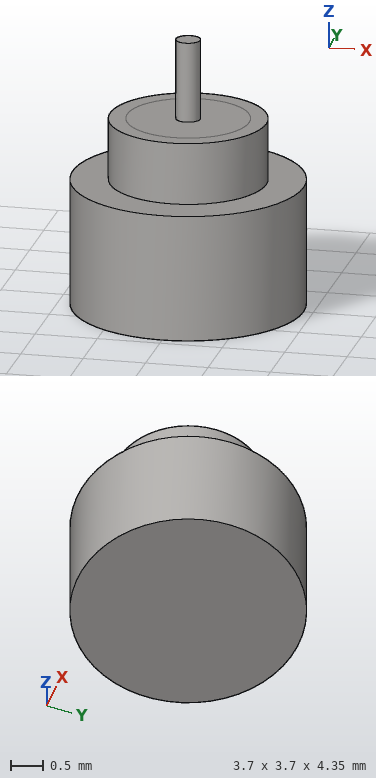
import cadquery as cq

body_diameter = 3.7
body_height = 2.05
collar_diameter = 2.5
collar_height = 1.0
core_diameter = 1.95
pin_diameter = 0.39
pin_length = 1.3

collar_top = body_height + collar_height


def cylinder(diameter, height, base_z):
    """Upright cylinder on the Z axis, standing on base_z."""
    return cq.Workplane("XY").workplane(offset=base_z).circle(diameter / 2).extrude(height)


def collar_ring():
    """Outer wall of the collar, open where the core fills it."""
    core_space = cylinder(core_diameter, collar_height, body_height)
    return cylinder(collar_diameter, collar_height, body_height).cut(core_space)


body = cylinder(body_diameter, body_height, 0)
core = cylinder(core_diameter, collar_height, body_height)
pin = cylinder(pin_diameter, pin_length, collar_top)

result = body.union(collar_ring(), clean=False).union(core, clean=False).union(pin, clean=False)